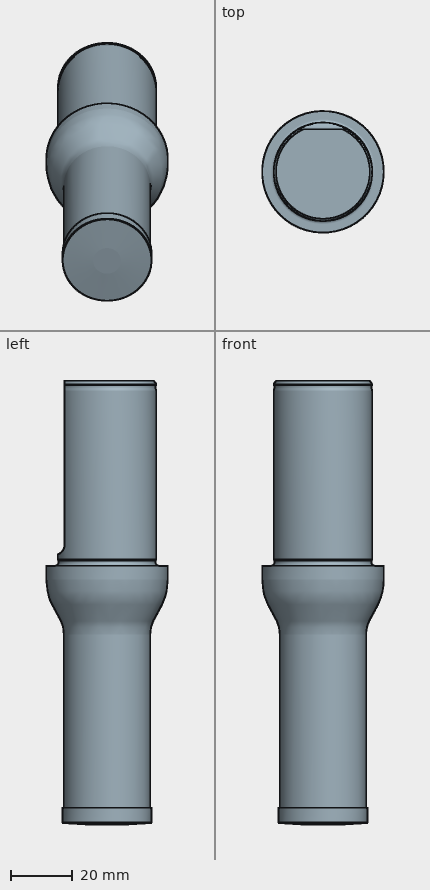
import cadquery as cq
import math

shank_radius = 31.99 / 2
shank_length = 60.0
end_chamfer_width = 0.8
end_chamfer_height = 1.1

relief_radius = 31.5 / 2
ring_groove_top = shank_length - 1.5
ring_groove_bottom = shank_length - 3.2
ring_groove_taper = 0.9

undercut_top = 2.1
undercut_taper = 0.45
undercut_fillet = 1.2

flat_offset = 13.8
flat_runout_bottom = 3.7
flat_runout_radius = 3.2

collar_radius = 39.5 / 2
collar_band_height = 4.4
collar_bottom = -22.2
bulge_radius = 20.0

neck_radius = 28.1 / 2
head_radius = 29.0 / 2
head_top = -78.5
head_edge = -83.05
head_bevel_width = 0.15
head_bevel_height = 0.35
tip = -84.0
tip_flat_radius = 4.5


def make_holder():
    curve_drop = -collar_band_height - collar_bottom
    curve_inset = collar_radius - neck_radius
    radius_sum = (curve_drop**2 + curve_inset**2) / (2 * curve_inset)
    turn_angle = math.asin(curve_drop / radius_sum)
    turning_point = (
        collar_radius - bulge_radius * (1 - math.cos(turn_angle)),
        -collar_band_height - bulge_radius * math.sin(turn_angle),
    )
    straight_up = (0, 1)

    fillet_inset = undercut_fillet * (1 - math.sqrt(0.5))
    body = (
        cq.Workplane("XZ")
        .moveTo(0, head_top)
        .lineTo(neck_radius, head_top)
        .lineTo(neck_radius, collar_bottom)
        .spline(
            [turning_point, (collar_radius, -collar_band_height)],
            tangents=[straight_up, straight_up],
            includeCurrent=True,
        )
        .lineTo(collar_radius, 0)
        .lineTo(relief_radius + undercut_fillet, 0)
        .threePointArc((relief_radius + fillet_inset, fillet_inset), (relief_radius, undercut_fillet))
        .lineTo(relief_radius, undercut_top - undercut_taper)
        .lineTo(shank_radius, undercut_top)
        .lineTo(shank_radius, ring_groove_bottom)
        .lineTo(relief_radius, ring_groove_bottom + ring_groove_taper)
        .lineTo(relief_radius, ring_groove_top)
        .lineTo(shank_radius, ring_groove_top)
        .lineTo(shank_radius, shank_length - end_chamfer_height)
        .lineTo(shank_radius - end_chamfer_width, shank_length)
        .lineTo(0, shank_length)
        .close()
        .revolve(360, (0, 0), (0, 1))
    )
    return body.cut(make_flat_cutter())


def make_flat_cutter():
    runout_width = shank_radius - flat_offset
    sweep = math.acos(1 - runout_width / flat_runout_radius)
    arc_top = flat_runout_bottom + flat_runout_radius * math.sin(sweep)

    def runout_point(angle):
        return (
            flat_offset + flat_runout_radius * (1 - math.cos(angle)),
            arc_top - flat_runout_radius * math.sin(angle),
        )

    return (
        cq.Workplane("YZ")
        .moveTo(flat_offset, shank_length)
        .lineTo(*runout_point(0))
        .threePointArc(runout_point(sweep / 2), runout_point(sweep))
        .lineTo(shank_radius, shank_length)
        .close()
        .extrude(shank_radius, both=True)
    )


def make_head():
    return (
        cq.Workplane("XZ")
        .moveTo(0, head_top)
        .lineTo(head_radius, head_top)
        .lineTo(head_radius, head_edge)
        .lineTo(head_radius - head_bevel_width, head_edge - head_bevel_height)
        .lineTo(tip_flat_radius, tip)
        .lineTo(0, tip)
        .close()
        .revolve(360, (0, 0), (0, 1))
    )


holder = make_holder()
head = make_head()

result = cq.Compound.makeCompound([holder.val(), head.val()])